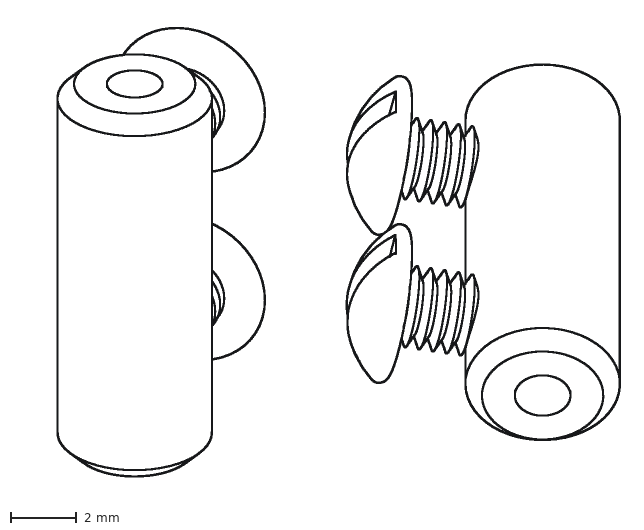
import cadquery as cq
import math

SLEEVE_LENGTH = 12.7
SLEEVE_RADIUS = 2.36
SLEEVE_CHAMFER = 0.51
BORE_RADIUS = 0.85

SCREW_SPACING = 6.57
SEAT_Y = 4.52
SHANK_LENGTH = 3.5

HEAD_RADIUS = 2.45
HEAD_HEIGHT = 1.55
RIM_RADIUS = 0.25
SLOT_WIDTH = 0.9
SLOT_FLOOR = 0.52

CREST_RADIUS = 1.26
ROOT_RADIUS = 0.85
THREAD_PITCH = 0.43
THREAD_OFFSET = 0.01

UPPER_SLOT_ANGLE = 0.0
LOWER_SLOT_ANGLE = 7.2

MIDDLE_Z = SLEEVE_LENGTH / 2
SCREW_PLACES = [
    (MIDDLE_Z + SCREW_SPACING / 2, UPPER_SLOT_ANGLE),
    (MIDDLE_Z - SCREW_SPACING / 2, LOWER_SLOT_ANGLE),
]


def thread_radius(depth):
    """Radius of the threaded shank at a depth below the underside of the head."""
    turns = (depth + THREAD_OFFSET) / THREAD_PITCH
    from_crest = 2 * abs(turns - round(turns))
    return CREST_RADIUS - (CREST_RADIUS - ROOT_RADIUS) * from_crest


def shank():
    """Threaded shank, pointing down from the underside of the head at Z = 0."""
    half_pitch = THREAD_PITCH / 2
    corner_count = math.floor((SHANK_LENGTH + THREAD_OFFSET) / half_pitch)
    corner_depths = [i * half_pitch - THREAD_OFFSET for i in range(1, corner_count + 1)]
    depths = [0, *corner_depths, SHANK_LENGTH]
    outline = [(0, 0)]
    outline += [(thread_radius(depth), -depth) for depth in depths]
    outline += [(0, -SHANK_LENGTH)]
    return cq.Workplane("XZ").polyline(outline).close().revolve(360, (0, 0, 0), (0, 1, 0))


def head():
    """Domed head without its slot, standing on Z = 0."""
    rim_x = HEAD_RADIUS - RIM_RADIUS
    rise = HEAD_HEIGHT - RIM_RADIUS
    dome_radius = (rim_x**2 + rise**2 - RIM_RADIUS**2) / (2 * (rise - RIM_RADIUS))
    dome_center = HEAD_HEIGHT - dome_radius
    tangent_angle = math.atan2(RIM_RADIUS - dome_center, rim_x)
    dome_mid_angle = (tangent_angle + math.pi / 2) / 2

    def rim_point(angle):
        return rim_x + RIM_RADIUS * math.cos(angle), RIM_RADIUS + RIM_RADIUS * math.sin(angle)

    def dome_point(angle):
        return dome_radius * math.cos(angle), dome_center + dome_radius * math.sin(angle)

    return (
        cq.Workplane("XZ")
        .lineTo(rim_x, 0)
        .threePointArc(rim_point(0), rim_point(tangent_angle))
        .threePointArc(dome_point(dome_mid_angle), (0, HEAD_HEIGHT))
        .close()
        .revolve(360, (0, 0, 0), (0, 1, 0))
    )


def slot(angle):
    """Cutter for the driver slot, turned about the screw axis."""
    return (
        cq.Workplane("XY")
        .workplane(offset=SLOT_FLOOR)
        .rect(2 * HEAD_RADIUS, SLOT_WIDTH)
        .extrude(HEAD_HEIGHT)
        .rotate((0, 0, 0), (0, 0, 1), angle)
    )


def placed(shape, height):
    """Turn a shape built along Z so that it points along +Y, and seat it at a height on the sleeve."""
    return shape.rotate((0, 0, 0), (1, 0, 0), -90).translate((0, SEAT_Y, height))


def make_screw(height, slot_angle):
    screw = head().cut(slot(slot_angle)).union(shank())
    return placed(screw, height)


def make_sleeve():
    sleeve = (
        cq.Workplane("XY")
        .circle(SLEEVE_RADIUS)
        .extrude(SLEEVE_LENGTH)
        .faces("<Z or >Z")
        .chamfer(SLEEVE_CHAMFER)
        .faces(">Z")
        .workplane()
        .circle(BORE_RADIUS)
        .cutThruAll()
    )
    for height, _ in SCREW_PLACES:
        sleeve = sleeve.cut(placed(shank(), height))
    return sleeve


sleeve = make_sleeve()
screws = [make_screw(height, slot_angle) for height, slot_angle in SCREW_PLACES]

result = cq.Compound.makeCompound([sleeve.val(), *[screw.val() for screw in screws]])